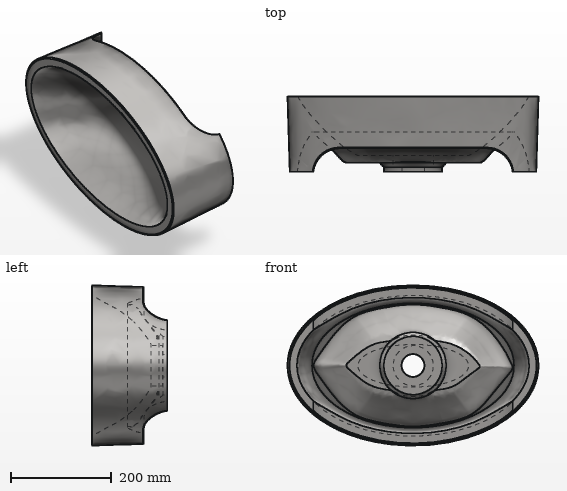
import cadquery as cq

height = 150.5
rim_length = 500.0
rim_width = 319.5
skirt_draft = 4.5
lip_rise = 1.5
lip_inset = 3.0

arch_height = 46.5
arch_half_width = 198.5
arch_radius = 52.0
skirt_edge_chamfer = 2.0
edge_tolerance = 0.5

seat_radius = 58.0
seat_flare_radius = 66.0
seat_straight = 9.0
seat_overlap = 5.0
bowl_floor = 17.5
drain_radius = 22.5
sump_radius = 40
sump_floor = 10

groove_top = 80.0

skirt_hollow = [(0, 231.0, 137.5), (47.5, 220, 135), (groove_top, 201.0, 124.0)]
bowl_outside = [
    (bowl_floor, 132.5, 52.5),
    (22.5, 141.0, 65),
    (35, 152.5, 80),
    (50, 167.5, 100),
    (groove_top, 197.5, 121.0),
]
bowl_inside = [(32.5, 110, 42.5), (47.5, 135, 65), (70, 162.5, 90), (100, 192.5, 112.5), (height, 230, 140)]

shoulder_x, shoulder_z = 0.57, 0.82
nose_x, nose_z = 0.95, 0.17
crown_x, crown_z = 0.29, 0.95


def plane_at(y):
    """Workplane at height y with local x along X, local y along Z, facing -Y."""
    return cq.Workplane("XZ", origin=(0, y, 0))


def ellipse_wire(y, half_length, half_width):
    return plane_at(y).ellipse(half_length, half_width).wires().val()


def bowl_wire(y, half_length, half_width):
    def at(x, z):
        return (x * half_length, z * half_width)

    quarter = [(nose_x, nose_z), (shoulder_x, shoulder_z), (crown_x, crown_z)]
    upper = [(1, 0), *quarter, (0, 1), *((-x, z) for x, z in reversed(quarter)), (-1, 0)]
    lower = [(x, -z) for x, z in reversed(upper[1:-1])]
    points = [at(x, z) for x, z in upper + lower]
    outline = plane_at(y).spline(points, periodic=True).wire()
    return outline.val()


def loft(sections, wire, ruled=False):
    return cq.Workplane(cq.Solid.makeLoft([wire(*section) for section in sections], ruled))


def arch_cutter():
    """Opening with rounded upper corners, running along the full Z width."""
    depth_below = 2 * arch_radius
    return (
        cq.Workplane("XY")
        .box(2 * arch_half_width, arch_height + depth_below, 2 * rim_width)
        .edges("|Z and >Y")
        .fillet(arch_radius)
        .translate((0, (arch_height - depth_below) / 2, 0))
    )


def skirt():
    rim_y = height - lip_rise
    half_length = rim_length / 2
    half_width = rim_width / 2
    sections = [
        (0, half_length - skirt_draft, half_width - skirt_draft),
        (rim_y, half_length, half_width),
        (height, half_length - lip_inset, half_width - lip_inset),
    ]
    body = loft(sections, ellipse_wire, ruled=True).cut(arch_cutter())
    long_edges = body.edges(
        cq.selectors.BoxSelector(
            (-arch_half_width, arch_height - edge_tolerance, -half_width),
            (arch_half_width, arch_height + edge_tolerance, half_width),
        )
    ).edges("not |Z")
    body = long_edges.chamfer(skirt_edge_chamfer)
    return body.cut(loft(skirt_hollow, ellipse_wire))


def drain_seat():
    profile = (
        cq.Workplane("XY")
        .lineTo(seat_radius, 0)
        .lineTo(seat_radius, seat_straight)
        .lineTo(seat_flare_radius, bowl_floor)
        .lineTo(seat_radius, bowl_floor + seat_overlap)
        .lineTo(0, bowl_floor + seat_overlap)
        .close()
    )
    return profile.revolve(360, (0, 0, 0), (0, 1, 0))


sump = plane_at(height).circle(sump_radius).extrude(height - sump_floor)
drain_hole = plane_at(height).circle(drain_radius).extrude(height)

result = (
    skirt()
    .union(loft(bowl_outside, bowl_wire))
    .union(drain_seat())
    .cut(loft(bowl_inside, ellipse_wire))
    .cut(sump)
    .cut(drain_hole)
)